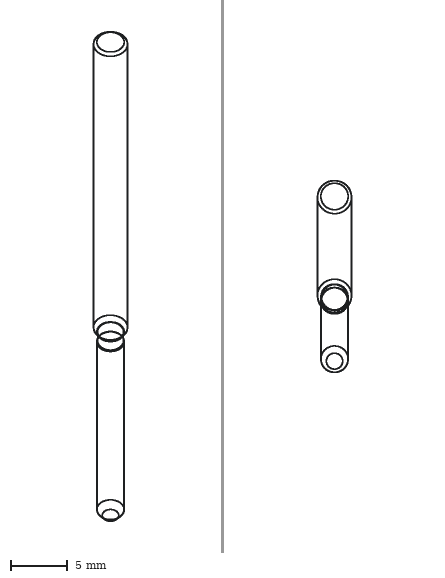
import cadquery as cq

total_length = 60.0
barrel_radius = 1.5
plunger_radius = 1.2

barrel_bottom = 23.3
barrel_top_chamfer_width = 0.3
barrel_top_chamfer_height = 0.25
barrel_end_radius = 1.2
barrel_bottom_taper_height = 0.55

neck_radius = 1.15
shoulder_height = 22.0
shoulder_chamfer_height = 0.1
tip_radius = 0.7
tip_height = 0.7


def revolve_profile(outline):
    """Turn an outline of (radius, height) points about the Z axis."""
    return cq.Workplane("XZ").polyline(outline).close().revolve(360, (0, 0, 0), (0, 1, 0))


def make_barrel():
    """Round bar, chamfered at the top and tapered at the bottom."""
    return revolve_profile([
        (0, barrel_bottom),
        (barrel_end_radius, barrel_bottom),
        (barrel_radius, barrel_bottom + barrel_bottom_taper_height),
        (barrel_radius, total_length - barrel_top_chamfer_height),
        (barrel_radius - barrel_top_chamfer_width, total_length),
        (0, total_length),
    ])


def make_plunger():
    """Round pin whose neck meets the bottom face of the barrel."""
    return revolve_profile([
        (0, 0),
        (tip_radius, 0),
        (plunger_radius, tip_height),
        (plunger_radius, shoulder_height),
        (neck_radius, shoulder_height + shoulder_chamfer_height),
        (neck_radius, barrel_bottom),
        (0, barrel_bottom),
    ])


barrel = make_barrel()
plunger = make_plunger()

result = cq.Compound.makeCompound([barrel.val(), plunger.val()])